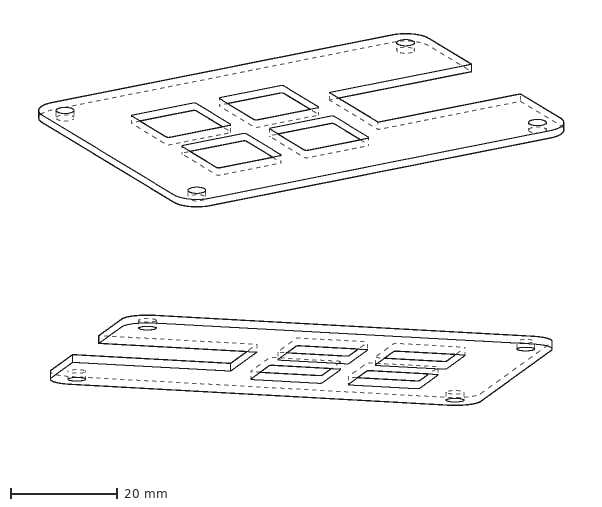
import cadquery as cq

plate_width = 60.0
plate_length = 84.0
plate_thickness = 1.5

screw_diameter = 3.4
screw_spacing_x = 50.0
screw_spacing_y = 74.0
corner_radius = (plate_width - screw_spacing_x) / 2

notch_width = 18.5
notch_depth = 30.9
notch_offset_x = 0.6

key_count = 2
key_size = 13.95
key_pitch = 19.1
key_corner_radius = 0.5
key_grid_above_bottom_edge = 30.9
key_grid_y = key_grid_above_bottom_edge - plate_length / 2


def make_plate():
    plate = cq.Workplane("XY").box(
        plate_width, plate_length, plate_thickness, centered=(True, True, False)
    )
    return plate.edges("|Z").fillet(corner_radius)


def make_screw_holes():
    return (
        cq.Workplane("XY")
        .rarray(screw_spacing_x, screw_spacing_y, 2, 2)
        .circle(screw_diameter / 2)
        .extrude(plate_thickness)
    )


def make_notch():
    notch_y = (plate_length - notch_depth) / 2
    return (
        cq.Workplane("XY")
        .center(notch_offset_x, notch_y)
        .rect(notch_width, notch_depth)
        .extrude(plate_thickness)
    )


def make_key_openings():
    openings = (
        cq.Workplane("XY")
        .center(0, key_grid_y)
        .rarray(key_pitch, key_pitch, key_count, key_count)
        .rect(key_size, key_size)
        .extrude(plate_thickness)
    )
    return openings.edges("|Z").fillet(key_corner_radius)


result = make_plate().cut(make_screw_holes()).cut(make_notch()).cut(make_key_openings())